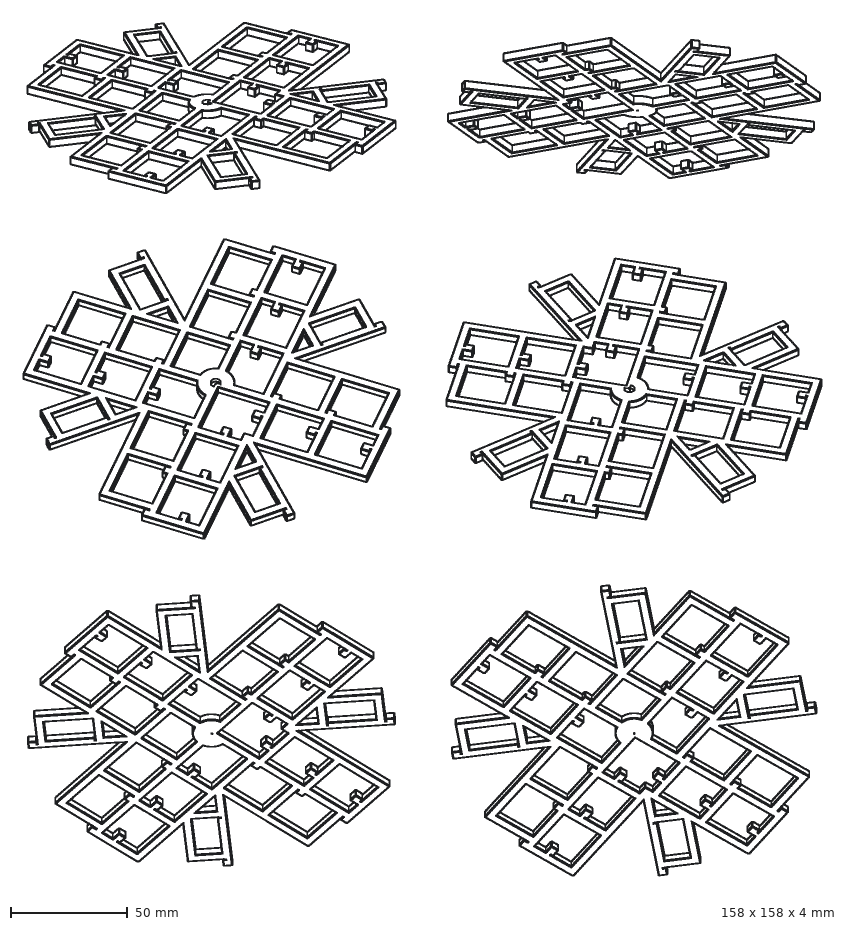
import cadquery as cq
import math

reach = 79.0
bar = 4.0
edge = 0.38
bays = 3
rail_offset = 17.0
peg_length = 4.1
neck_width = 2.7
hub_radius = 8.2
pocket_radius = 2.2
pocket_depth = 1.9

half = bar / 2
pitch = (reach - bar) / bays
cell_middle = (half + pitch - bar) / 2
bay_ends = [pitch * (i + 1) for i in range(bays)]
diagonal_root = math.sqrt(2) * (pitch - half)


def block(x0, x1, y0, y1):
    """Full-height block with every edge chamfered."""
    body = cq.Workplane("XY").box(x1 - x0, y1 - y0, bar, centered=False)
    return body.edges().chamfer(edge).translate((x0, y0, -half))


def merge(solids):
    """Fuse a list of bodies into one."""
    total = solids[0]
    for solid in solids[1:]:
        total = total.union(solid)
    return total


def peg(bar_face, side):
    """Peg on the inner face of a cross bar; side is -1 below or +1 above the row middle."""
    flush_y = cell_middle + side * bar
    neck_y = flush_y - side * neck_width
    tip = bar_face - peg_length
    head = block(tip, bar_face, min(cell_middle, flush_y), max(cell_middle, flush_y))
    neck = block(tip, bar_face + half, min(neck_y, flush_y), max(neck_y, flush_y))
    return head.union(neck)


def arm(peg_side):
    """Two-row ladder along +X: pegged upper row, plain lower row one bar shorter."""
    parts = [
        block(0, reach - half, -half, half),
        block(pitch - bar, reach, pitch - bar, pitch),
        block(pitch - bar, reach - bar, -pitch, bar - pitch),
    ]
    for end in bay_ends:
        parts.append(block(end, end + bar, -bar, pitch))
        parts.append(block(end - bar, end, -pitch, half))
        parts.append(peg(end, peg_side))
    return merge(parts)


def diagonal():
    """Narrow ladder along +X, with a second rail on the -Y side and a stub past its end."""
    middle_end, outer_end = bay_ends[1:]
    parts = [block(diagonal_root, reach, half - neck_width, half)]
    stops = [diagonal_root, middle_end, outer_end, reach]
    for start, stop in zip(stops, stops[1:]):
        parts.append(block(start, stop, -half, half))
    parts.append(block(middle_end - bar, middle_end, half - rail_offset, half))
    parts.append(block(outer_end - bar, outer_end, -rail_offset, half))
    parts.append(block(middle_end - half, outer_end, -rail_offset, bar - rail_offset))
    return merge(parts)


def swap_xy(body):
    """Reflect across the X = Y plane."""
    return body.rotate((0, 0, 0), (0, 0, 1), 90).mirror("YZ")


def three_quarters(disc):
    """Remove the +X +Y quadrant from a disc standing on the XY plane."""
    return disc.cut(cq.Workplane("XY").rect(reach, reach, centered=False).extrude(bar))


def hub():
    """Three-quarter disc joining the four arms at the centre."""
    disc = cq.Workplane("XY").circle(hub_radius).extrude(bar).edges().chamfer(edge)
    return three_quarters(disc).translate((0, 0, -half))


def pocket():
    """Three-quarter blind recess in the top of the hub."""
    disc = cq.Workplane("XY").circle(pocket_radius).extrude(pocket_depth)
    return three_quarters(disc).translate((0, 0, half - pocket_depth))


near_arm = arm(-1)
far_arm = arm(1)
arms = [
    far_arm,
    near_arm.mirror("YZ"),
    swap_xy(near_arm),
    swap_xy(far_arm).mirror("XZ"),
]

upper_right = diagonal().rotate((0, 0, 0), (0, 0, 1), 45)
upper_left = upper_right.mirror("YZ")
lower_left = upper_left.rotate((0, 0, 0), (0, 0, 1), 90)
lower_right = lower_left.mirror("YZ")

diagonals = [upper_right, upper_left, lower_left, lower_right]

result = merge(arms + diagonals + [hub()]).cut(pocket())